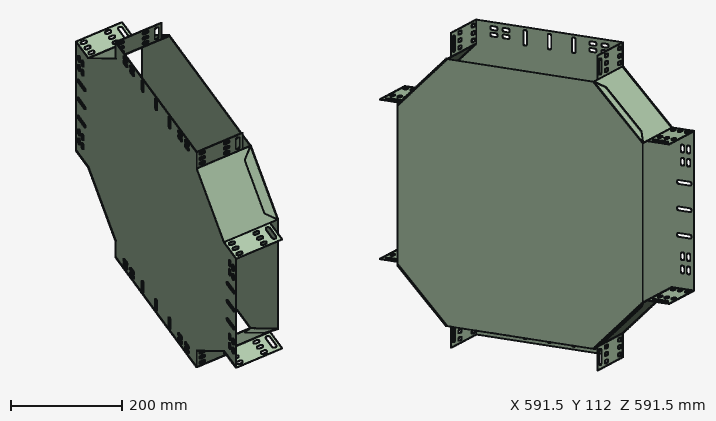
import cadquery as cq
import math


overall_size = 591.5
overall_depth = 112.0
sheet = 1.0
arm_width = 300.5
corner_leg = 100.5

tab_height = 95.0

flap_depth = 19.5

slot_width = 7.0
long_slot_length = 29.5
long_slot_inset = 20.0
long_slot_pitch = 49.5
short_slot_length = 15.0
short_slot_insets = (11.0, 23.5)
short_slot_offsets = (88.5, 113.5)

tab_slot_length = 12.0
tab_slot_width = 6.5
tab_slot_insets = (8.0, 22.5, 36.0)
tab_slot_heights = (12.0, 62.0)
tab_long_slot_length = 31.0
tab_long_slot_width = 8.0
tab_long_slot_inset = 23.0
tab_long_slot_height = 85.0

half_size = overall_size / 2
half_arm = arm_width / 2
half_body = half_arm + corner_leg
front_y = -overall_depth / 2
lid_inner_y = overall_depth / 2 - sheet
wall_height = lid_inner_y - front_y
bend_setback = sheet * math.tan(math.radians(45 / 2))
corner_angles = (0, 90, 180, 270)


def sheet_plane(y):
    """Workplane at the given Y with local x = X and local y = Z; extrude(-h) grows towards +Y."""
    return cq.Workplane("XZ", origin=(0, y, 0))


def turned(shape, angle):
    """Copy of a shape turned about the Y axis of the junction."""
    return shape.rotate((0, 0, 0), (0, 1, 0), angle)


def base_plate():
    """Cross-shaped plate with 45 degree edges between the arms."""
    body = sheet_plane(front_y).rect(2 * half_body, 2 * half_body).extrude(-sheet)
    body = body.edges("|Y").chamfer(corner_leg)
    arms = sheet_plane(front_y).rect(overall_size, arm_width).extrude(-sheet)
    return body.union(arms).union(turned(arms, 90))


def corner_wall():
    """45 degree wall at the +X +Z corner with the two lower tabs bent off its ends."""
    outer_end = (half_body, half_arm)
    outer_start = (half_arm, half_body)
    inner_start = (half_arm - sheet, half_body - bend_setback)
    inner_end = (half_body - bend_setback, half_arm - sheet)
    wall = sheet_plane(front_y).polyline([outer_end, outer_start, inner_start, inner_end]).close()
    tabs = sheet_plane(front_y).polyline([
        outer_end,
        outer_start,
        (half_arm, half_size),
        (half_arm - sheet, half_size),
        inner_start,
        inner_end,
        (half_size, half_arm - sheet),
        (half_size, half_arm),
    ]).close()
    return wall.extrude(-wall_height).union(tabs.extrude(-tab_height))


def base_slots():
    """Cutters for the slots along the +Z edge of the base plate."""
    long_points = [(i * long_slot_pitch, half_size - long_slot_inset) for i in (-1, 0, 1)]
    short_points = [
        (side * offset, half_size - inset)
        for side in (-1, 1)
        for offset in short_slot_offsets
        for inset in short_slot_insets
    ]
    long_slots = sheet_plane(front_y).pushPoints(long_points).slot2D(long_slot_length, slot_width, 90)
    short_slots = sheet_plane(front_y).pushPoints(short_points).slot2D(short_slot_length, slot_width)
    return long_slots.extrude(-sheet).union(short_slots.extrude(-sheet))


def tab_slots():
    """Cutters through the two tabs, at +Z and -Z, at the +X end of the tray."""
    tab_end = cq.Workplane("XY", origin=(half_size, front_y, 0))
    points = [(-inset, height) for inset in tab_slot_insets for height in tab_slot_heights]
    short_slots = tab_end.pushPoints(points).slot2D(tab_slot_length, tab_slot_width, 90)
    cutters = short_slots.extrude(half_arm, both=True)
    long_slot = tab_end.center(-tab_long_slot_inset, tab_long_slot_height)
    long_slot = long_slot.slot2D(tab_long_slot_length, tab_long_slot_width)
    return cutters.union(long_slot.extrude(half_arm, both=True))


def make_tray():
    """Base plate, four corner walls and eight slotted tabs, all bent from one sheet."""
    tray = base_plate()
    for angle in corner_angles:
        tray = tray.union(turned(corner_wall(), angle))
    for angle in corner_angles:
        tray = tray.cut(turned(base_slots(), angle)).cut(turned(tab_slots(), angle))
    return tray


def lid_flap():
    """Flap lying on the outside of the +X +Z corner wall, narrowing away from the lid."""
    middle = half_arm + corner_leg / 2
    half_length = corner_leg / math.sqrt(2)
    flap_plane = cq.Plane(origin=(middle, lid_inner_y, middle), xDir=(1, 0, -1), normal=(1, 0, 1))
    outline = cq.Workplane(flap_plane).polyline([
        (-half_length, sheet),
        (half_length, sheet),
        (half_length, 0),
        (half_length - flap_depth, -flap_depth),
        (flap_depth - half_length, -flap_depth),
        (-half_length, 0),
    ])
    return outline.close().extrude(sheet)


def make_lid():
    """Octagonal plate resting on the wall tops, with a flap on each 45 degree edge."""
    lid = sheet_plane(lid_inner_y).rect(2 * half_body, 2 * half_body).extrude(-sheet)
    lid = lid.edges("|Y").chamfer(corner_leg)
    for angle in corner_angles:
        lid = lid.union(turned(lid_flap(), angle))
    return lid


tray = make_tray()
lid = make_lid()
result = cq.Compound.makeCompound([tray.val(), lid.val()])